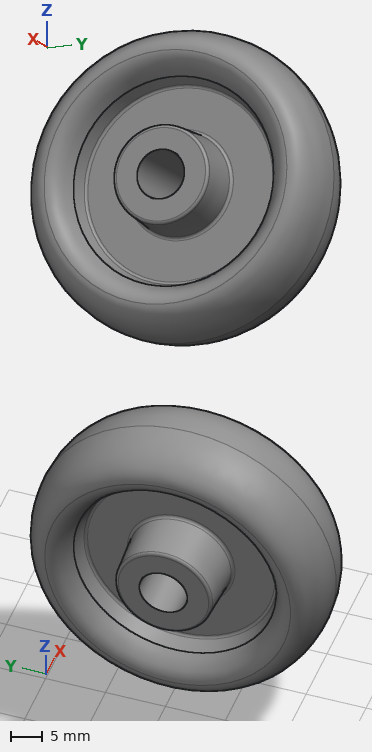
import cadquery as cq
import math

HUB_LENGTH = 22.0
BORE_RADIUS = 4.0
HUB_TIP_RADIUS = 8.0
HUB_ROOT_RADIUS = 8.5
CORE_FILLET = 0.5

WEB_THICKNESS = 5.0
RIM_ROOT_RADIUS = 16.0
RIM_RADIUS = 16.9

WHEEL_RADIUS = 25.0
TYRE_HALF_WIDTH = 9.0
TYRE_HALF_HEIGHT = TYRE_HALF_WIDTH / 2
TYRE_CENTRE_RADIUS = WHEEL_RADIUS - TYRE_HALF_HEIGHT

SEAT_ANGLE = math.asin((TYRE_CENTRE_RADIUS - RIM_RADIUS) / TYRE_HALF_HEIGHT)
SEAT_HALF_WIDTH = TYRE_HALF_WIDTH * math.cos(SEAT_ANGLE)

AXLE_START = (0, 0, 0)
AXLE_END = (1, 0, 0)
RADIUS_TOLERANCE = 1e-4


def make_core():
    """Bored hub, web and tapered rim revolved about X, with rounded corners."""
    half_hub = HUB_LENGTH / 2
    half_web = WEB_THICKNESS / 2
    right_side = [
        (half_hub, BORE_RADIUS),
        (half_hub, HUB_TIP_RADIUS),
        (half_web, HUB_ROOT_RADIUS),
        (half_web, RIM_ROOT_RADIUS),
        (SEAT_HALF_WIDTH, RIM_RADIUS),
    ]
    left_side = [(-x, radius) for x, radius in reversed(right_side)]
    core = (
        cq.Workplane("XY")
        .polyline(right_side + left_side)
        .close()
        .revolve(360, AXLE_START, AXLE_END)
    )

    def is_rounded(edge):
        """Hub tips, hub roots and rim roots on both sides."""
        if edge.geomType() != "CIRCLE":
            return False
        return any(
            math.isclose(edge.radius(), radius, abs_tol=RADIUS_TOLERANCE)
            for radius in (HUB_TIP_RADIUS, HUB_ROOT_RADIUS, RIM_ROOT_RADIUS)
        )

    rounded_edges = [edge for edge in core.edges().vals() if is_rounded(edge)]
    return core.newObject(rounded_edges).fillet(CORE_FILLET)


def make_tyre():
    """Elliptical section closed by the flat seat, revolved about X."""
    seat_degrees = math.degrees(SEAT_ANGLE)
    arc_ends = [-seat_degrees, 0, 90, 180, 180 + seat_degrees]
    profile = cq.Workplane("XY").moveTo(SEAT_HALF_WIDTH, RIM_RADIUS)
    for start, end in zip(arc_ends, arc_ends[1:]):
        profile = profile.ellipseArc(TYRE_HALF_WIDTH, TYRE_HALF_HEIGHT, start, end)
    return profile.close().revolve(360, AXLE_START, AXLE_END)


core = make_core()
tyre = make_tyre()

result = cq.Compound.makeCompound([core.val(), tyre.val()])